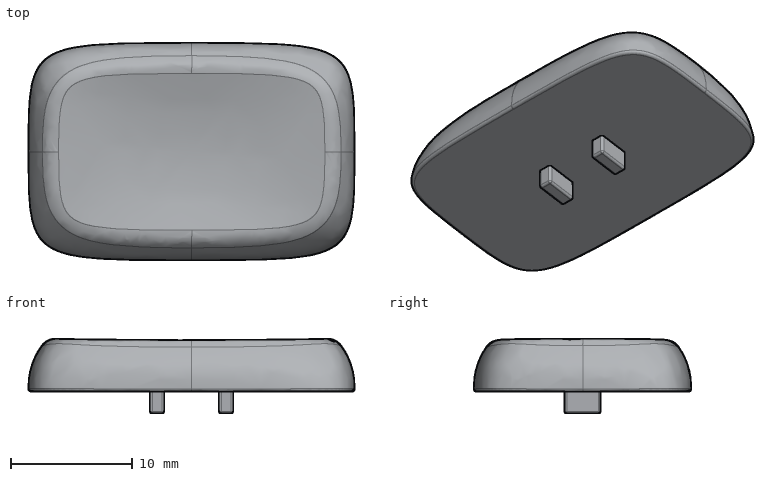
import cadquery as cq
import math

CAP_LENGTH = 26.96
CAP_WIDTH = 17.97
SIDE_RADIUS = 5.7
WIDEST_HEIGHT = 0.4
WALL_TOP = 4.9
WALL_SECTIONS = 6
BASE_SQUARENESS = 1.0
TOP_SQUARENESS = 0.89
BOTTOM_EDGE_RADIUS = 0.25

DISH_BOTTOM = 3.48
DISH_LENGTH = 22.0
DISH_WIDTH = 13.0
END_RISE = 0.88
SIDE_RISE = 0.77
CORNER_EASING = 0.67
DISH_STEPS = 12
RIM_RADIUS = 1.4

LEG_SPACING = 5.7
LEG_THICKNESS = 1.2
LEG_WIDTH = 3.0
LEG_LENGTH = 1.8
LEG_EDGE_RADIUS = 0.2


def wall_inset(height):
    """Distance the side wall has moved in from its widest place."""
    rise = max(height - WIDEST_HEIGHT, 0)
    return SIDE_RADIUS - math.sqrt(SIDE_RADIUS**2 - rise**2)


def rounded_outline(height):
    """Closed outline of four smooth corner curves at the given height."""
    half_x = CAP_LENGTH / 2 - wall_inset(height)
    half_y = CAP_WIDTH / 2 - wall_inset(height)
    squareness = BASE_SQUARENESS + (TOP_SQUARENESS - BASE_SQUARENESS) * height / WALL_TOP
    pull_x = half_x * squareness
    pull_y = half_y * squareness
    corners = []
    for sx, sy in [(1, 1), (-1, 1), (-1, -1), (1, -1)]:
        points = [(half_x, 0), (half_x, pull_y), (pull_x, half_y), (0, half_y)]
        if sx != sy:
            points.reverse()
        corners.append(cq.Edge.makeBezier([cq.Vector(sx * x, sy * y, height) for x, y in points]))
    return cq.Wire.assembleEdges(corners)


def make_body():
    heights = [WALL_TOP * i / (WALL_SECTIONS - 1) for i in range(WALL_SECTIONS)]
    return cq.Workplane(cq.Solid.makeLoft([rounded_outline(h) for h in heights]))


def dish_height(x, y):
    """Height of the dish: parabolic along X and Y, with its rise eased towards the corners."""
    along = (2 * x / DISH_LENGTH) ** 2
    across = (2 * y / DISH_WIDTH) ** 2
    return DISH_BOTTOM + END_RISE * along + SIDE_RISE * across - CORNER_EASING * along * across


def make_dish():
    """Block that fills the space above the dish."""
    steps = [2 * i / DISH_STEPS - 1 for i in range(DISH_STEPS + 1)]
    xs = [step * CAP_LENGTH / 2 for step in steps]
    ys = [step * CAP_WIDTH / 2 for step in steps]
    grid = [[cq.Vector(x, y, dish_height(x, y)) for y in ys] for x in xs]
    floor = cq.Face.makeSplineApprox(grid)
    return cq.Workplane(cq.Solid.extrudeLinear(floor, cq.Vector(0, 0, WALL_TOP)))


def make_leg(x):
    return (
        cq.Workplane("XY")
        .center(x, 0)
        .rect(LEG_THICKNESS, LEG_WIDTH)
        .extrude(-LEG_LENGTH)
        .edges("|Z or <Z")
        .fillet(LEG_EDGE_RADIUS)
    )


def make_cap():
    """Body with the dish cut out and its rim and bottom edges rounded."""
    body = make_body().cut(make_dish())
    body = body.faces("<Z").edges().fillet(BOTTOM_EDGE_RADIUS)
    rim = cq.selectors.BoxSelector(
        (-CAP_LENGTH, -CAP_WIDTH, DISH_BOTTOM), (CAP_LENGTH, CAP_WIDTH, 2 * WALL_TOP), boundingbox=True
    )
    return body.edges(rim).fillet(RIM_RADIUS)


result = make_cap()
for side in (-1, 1):
    result = result.union(make_leg(side * LEG_SPACING / 2))